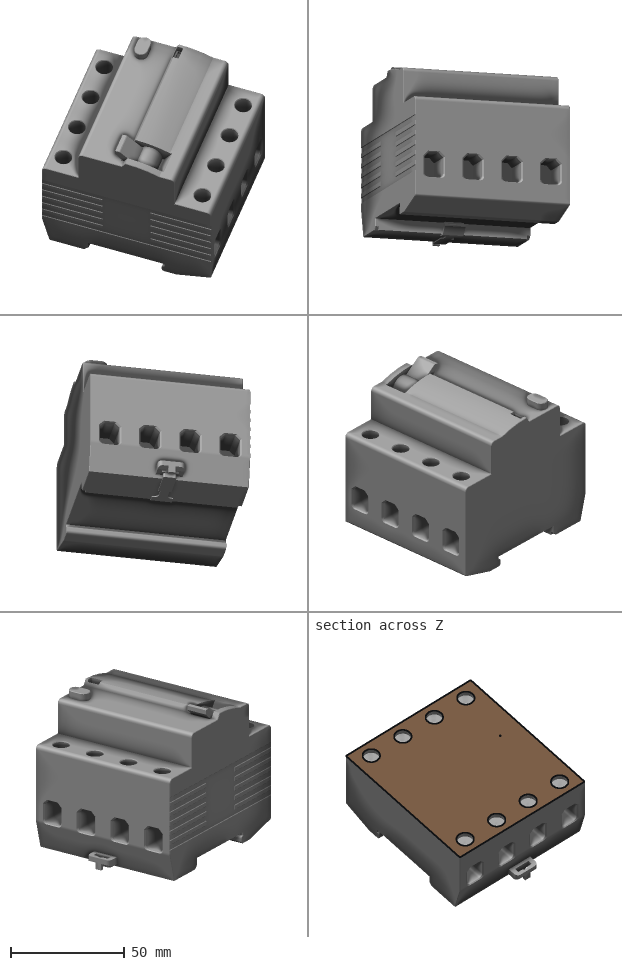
import cadquery as cq


width = 71.8
body_left = 3.55
body_right = 82.7
body_mid = (body_left + body_right) / 2
foot_z = 0.5
rail_z = 5.5
shoulder_z = 49.9
nose_left = 20.6
nose_right = 2 * body_mid - nose_left
nose_z = 66.0
outer_round = 2.0
end_chamfer = 0.21

slope_top_z = 14.0
slope_round = 5.0
foot_left = 7.0
foot_right = 24.8
foot_chamfer = 1.6
foot_wall = 1.65

hook_left = 59.55
hook_root = 60.8
hook_root_z = 4.2
hook_bottom_right = 66.4
hook_outer_z = 4.9
hook_bottom_round = 3.3
hook_outer_round = 1.0

ridge_foot = 40.85
ridge_crest = 42.5
ridge_end = 58.5
ridge_z = 68.6

rib_count = 5
panel_bottom_z = 16.4
panel_height = 24.8
strip = panel_height / (2 * rib_count + 1)
panel_depth = 0.25
rib_left_end = 31.9
rib_right_end = 2 * body_mid - rib_left_end

pole_count = 4
pole_pitch = 18.0
pole_ys = [pole_pitch * (i - (pole_count - 1) / 2) for i in range(pole_count)]
screw_offset = 32.5
screw_diameter = 7.5
screw_depth = 16.5
screw_chamfer = 0.3
entry_width = 10.1
entry_bottom_z = 13.4
entry_top_z = 25.3
entry_top_cut = 2.2
entry_bottom_round = 2.0
entry_rim_side = 0.7
entry_rim_end = 0.3
entry_rim_depth = 0.7
entry_depth = 14.1

pocket_left = 39.45
pocket_floor_right = 55.7
pocket_right = 59.5
pocket_floor_z = 60.5
pocket_y = -27.1
pocket_width = 10.9
drum_x = 49.2
drum_radius = 5.8
lever_y = -27.45
lever_width = 9.8
lever_tip_x = 36.6
lever_tip_low_z = 69.05
lever_tip_high_z = 71.0
lever_peak_x = 38.45
lever_peak_z = 71.2
lever_bevel_x = 38.9
lever_bevel_z = 71.0
lever_root_top = (46.65, 65.25)
lever_root_low = (44.65, 61.7)

button_x = 27.9
button_y = 29.0
button_width = 6.1
button_length = 10.25
button_z = 69.55
button_chamfer = 0.25
window_left = 41.85
window_right = 44.9
window_y = 31.3
window_length = 6.2
window_floor_z = 65.5
window_corner_round = 0.4
window_ledge = 0.75
window_slot_depth = 0.8

clip_width = 12.1
clip_end = 7.45
clip_bottom_z = 2.15
clip_nose_z = 3.15
clip_round = 2.0
slot_left = 1.9
slot_shelf = 2.65
slot_right = 4.1
slot_half = 3.8
slot_shelf_z = 3.8
clip_hole_x = 3.8
clip_hole_diameter = 5.2
post_length = 1.65
post_width = 3.0
tongue_left = 4.6
tongue_right = 16.7
tongue_half = 3.0
tongue_round = 0.8
shank_half = 2.0
flare_left = 20.1
flare_round = 1.9
catch_half = 4.8
catch_bottom_right = 25.05
catch_tip_x = 28.3
catch_tip_low_z = 3.5
catch_tip_high_z = 4.05
catch_top_x = 27.45
catch_top_z = 4.6
strip_z = 0.6
strip_bend_x = 23.15
riser_half = 4.4
riser_right = 27.05


def extrude_along_y(points, y_mid, length):
    """Prism with an XZ outline, centred on y_mid."""
    plane = cq.Workplane("XZ", origin=(0, y_mid, 0))
    return plane.polyline(points).close().extrude(length / 2, both=True)


def block(x_min, x_max, y_size, z_min, z_max):
    """Box centred on Y = 0."""
    size_x, size_z = x_max - x_min, z_max - z_min
    box = cq.Workplane("XY").box(size_x, y_size, size_z, centered=(False, True, False))
    return box.translate((x_min, 0, z_min))


def round_edges(solid, radius, corners):
    """Fillet the Y-parallel edges at the given XZ corners."""
    for x, z in corners:
        solid = solid.edges(cq.NearestToPointSelector((x, 0, z))).fillet(radius)
    return solid


def housing():
    """Stepped body with the ridge on top and the rail channel below."""
    run, drop = ridge_end - ridge_crest, ridge_z - nose_z
    crown_radius = (run**2 + drop**2) / (2 * drop)
    lip_round = hook_root - hook_left
    body = (
        cq.Workplane("XZ")
        .moveTo(foot_left, foot_z)
        .lineTo(body_left, slope_top_z)
        .lineTo(body_left, shoulder_z)
        .lineTo(nose_left, shoulder_z)
        .lineTo(nose_left, nose_z)
        .lineTo(ridge_foot, nose_z)
        .lineTo(ridge_crest, ridge_z)
        .radiusArc((ridge_end, nose_z), crown_radius)
        .lineTo(nose_right, nose_z)
        .lineTo(nose_right, shoulder_z)
        .lineTo(body_right, shoulder_z)
        .lineTo(body_right, hook_outer_z)
        .lineTo(hook_bottom_right, foot_z)
        .lineTo(hook_root, foot_z)
        .radiusArc((hook_left, foot_z + lip_round), lip_round)
        .lineTo(hook_left, hook_root_z - lip_round)
        .radiusArc((hook_root, hook_root_z), lip_round)
        .lineTo(hook_root, rail_z)
        .lineTo(foot_right, rail_z)
        .lineTo(foot_right, foot_z + foot_chamfer)
        .lineTo(foot_right - foot_chamfer, foot_z)
        .close()
        .extrude(width / 2, both=True)
    )
    body = round_edges(
        body,
        outer_round,
        [
            (body_left, shoulder_z),
            (nose_left, nose_z),
            (nose_right, nose_z),
            (body_right, shoulder_z),
        ],
    )
    body = round_edges(body, slope_round, [(body_left, slope_top_z)])
    body = round_edges(body, hook_bottom_round, [(hook_bottom_right, foot_z)])
    body = round_edges(body, hook_outer_round, [(body_right, hook_outer_z)])
    body = body.faces("<Y or >Y").edges().chamfer(end_chamfer)
    corner_length = width - 2 * foot_wall
    return body.union(block(foot_left, foot_right, corner_length, foot_z, rail_z))


def panel_bar(x_min, x_max, z_min, z_max, lean):
    """Bar lying in the panel recess; lean widens (+) or narrows (-) it towards the outside."""
    outside = -width / 2
    inside = outside + panel_depth
    section = [
        (outside, z_min - lean),
        (inside, z_min),
        (inside, z_max),
        (outside, z_max + lean),
    ]
    return cq.Workplane("YZ", origin=(x_min, 0, 0)).polyline(section).close().extrude(x_max - x_min)


def side_panel_recess():
    """Shallow recess across the -Y face that leaves two banks of ribs standing."""
    panel_top_z = panel_bottom_z + panel_height
    recess = panel_bar(body_left, body_right, panel_bottom_z, panel_top_z, panel_depth)
    for i in range(rib_count):
        z_min = panel_bottom_z + (2 * i + 1) * strip
        for x_min, x_max in [(body_left, rib_left_end), (rib_right_end, body_right)]:
            recess = recess.cut(panel_bar(x_min, x_max, z_min, z_min + strip, -panel_depth))
    return recess


def screw_holes():
    points = [(body_mid + side * screw_offset, y) for side in (-1, 1) for y in pole_ys]
    bore_radius = screw_diameter / 2
    half_profile = [
        (0, 0),
        (bore_radius + screw_chamfer, 0),
        (bore_radius, -screw_chamfer),
        (bore_radius, -screw_depth),
        (0, -screw_depth),
    ]
    hole = cq.Workplane("XZ").polyline(half_profile).close().revolve(360, (0, 0), (0, 1))
    places = cq.Workplane("XY", origin=(0, 0, shoulder_z)).pushPoints(points)
    return places.eachpoint(lambda place: hole.val().moved(place), combine=True)


def entry_wire(plane, side_inset, end_inset):
    """YZ outline of a wire entry around Y = 0: bevelled at the top, rounded at the bottom."""
    half = entry_width / 2 - side_inset
    low, high = entry_bottom_z + end_inset, entry_top_z - end_inset
    return (
        plane.moveTo(-half, low + entry_bottom_round)
        .lineTo(-half, high - entry_top_cut)
        .lineTo(-half + entry_top_cut, high)
        .lineTo(half - entry_top_cut, high)
        .lineTo(half, high - entry_top_cut)
        .lineTo(half, low + entry_bottom_round)
        .radiusArc((half - entry_bottom_round, low), entry_bottom_round)
        .lineTo(-half + entry_bottom_round, low)
        .radiusArc((-half, low + entry_bottom_round), entry_bottom_round)
        .close()
    )


def wire_entries():
    """Wire entries in both X faces, each with a tapered rim."""
    face = cq.Workplane("YZ", origin=(body_left, 0, 0))
    rim_end = entry_wire(face, 0, 0).workplane(offset=entry_rim_depth)
    rim = entry_wire(rim_end, entry_rim_side, entry_rim_end).loft(ruled=True)
    entry = rim.union(entry_wire(face, entry_rim_side, entry_rim_end).extrude(entry_depth))
    opposite = entry.mirror("YZ", (body_mid, 0, 0))
    entries = cq.Workplane("XY")
    for y in pole_ys:
        entries = entries.add(entry.translate((0, y, 0))).add(opposite.translate((0, y, 0)))
    return entries.combine()


def toggle_pocket():
    outline = [
        (pocket_left, pocket_floor_z),
        (pocket_floor_right, pocket_floor_z),
        (pocket_right, nose_z),
        (pocket_right, ridge_z),
        (pocket_left, ridge_z),
    ]
    return extrude_along_y(outline, pocket_y, pocket_width)


def toggle():
    """Half-buried drum across the pocket with a slanted lever on it."""
    drum = (
        cq.Workplane("XZ", origin=(drum_x, pocket_y, pocket_floor_z))
        .circle(drum_radius)
        .extrude(pocket_width / 2, both=True)
    )
    lever_outline = [
        (lever_tip_x, lever_tip_low_z),
        (lever_tip_x, lever_tip_high_z),
        (lever_peak_x, lever_peak_z),
        (lever_bevel_x, lever_bevel_z),
        lever_root_top,
        lever_root_low,
    ]
    return drum.union(extrude_along_y(lever_outline, lever_y, lever_width))


def test_button():
    return (
        cq.Workplane("XY", origin=(button_x, button_y, nose_z))
        .slot2D(button_length, button_width, 90)
        .extrude(button_z - nose_z)
        .faces(">Z")
        .edges()
        .chamfer(button_chamfer)
    )


def indicator_window():
    """Recess in the ridge with rounded corners and a narrower slot in its floor."""
    length_x = window_right - window_left
    centre = ((window_left + window_right) / 2, window_y, window_floor_z)
    floor = cq.Workplane("XY", origin=centre)
    recess = floor.rect(length_x, window_length).extrude(ridge_z - window_floor_z)
    recess = recess.edges("|Z").fillet(window_corner_round)
    slot_length = window_length - 2 * window_corner_round
    slot = floor.rect(length_x - 2 * window_ledge, slot_length).extrude(-window_slot_depth)
    return recess.union(slot)


def clip_head():
    """Pull tab with a stepped slot, a round clearance and a small post below its tip."""
    outline = [
        (0, clip_nose_z),
        (0, rail_z),
        (clip_end, rail_z),
        (clip_end, clip_bottom_z),
        (clip_round, clip_bottom_z),
    ]
    head = extrude_along_y(outline, 0, clip_width)
    plan = block(0, clip_end, clip_width, 0, rail_z).edges("<X and |Z").fillet(clip_round)
    head = head.intersect(plan)
    head = head.union(block(0, post_length, post_width, 0, rail_z))
    hole = (
        cq.Workplane("XY")
        .center(clip_hole_x, 0)
        .circle(clip_hole_diameter / 2)
        .extrude(rail_z)
        .intersect(block(0, slot_right, clip_width, 0, rail_z))
    )
    head = head.cut(block(slot_left, slot_right, 2 * slot_half, slot_shelf_z, rail_z))
    head = head.cut(block(slot_shelf, slot_right, 2 * slot_half, 0, rail_z))
    return head.cut(hole)


def clip_slider():
    """Slider under the foot: tongue, shank and a flared catch that grips the rail."""
    catch_left = flare_left + flare_round
    catch_slope = (catch_top_z - strip_z) / (catch_top_x - strip_bend_x)
    plan = (
        cq.Workplane("XY")
        .moveTo(tongue_left, 0)
        .lineTo(tongue_left, tongue_half)
        .lineTo(tongue_right, tongue_half)
        .lineTo(tongue_right, shank_half)
        .lineTo(flare_left, shank_half)
        .radiusArc((catch_left, shank_half + flare_round), -flare_round)
        .lineTo(catch_left, catch_half)
        .lineTo(catch_tip_x, catch_half)
        .lineTo(catch_tip_x, 0)
        .mirrorX()
        .extrude(rail_z)
        .edges("<X and |Z")
        .fillet(tongue_round)
    )
    side_outline = [
        (tongue_left, 0),
        (catch_bottom_right, 0),
        (catch_tip_x, catch_tip_low_z),
        (catch_tip_x, catch_tip_high_z),
        (catch_top_x, catch_top_z),
        (strip_bend_x, strip_z),
        (tongue_right, strip_z),
        (tongue_right, clip_bottom_z),
        (tongue_left, clip_bottom_z),
    ]
    slider = plan.intersect(extrude_along_y(side_outline, 0, 2 * catch_half))
    riser_outline = [
        (catch_left, strip_z),
        (strip_bend_x, strip_z),
        (riser_right, strip_z + catch_slope * (riser_right - strip_bend_x)),
        (riser_right, rail_z),
        (catch_left, rail_z),
    ]
    return slider.union(extrude_along_y(riser_outline, 0, 2 * riser_half))


result = (
    housing()
    .cut(side_panel_recess())
    .cut(screw_holes())
    .cut(wire_entries())
    .cut(toggle_pocket())
    .cut(indicator_window())
    .union(toggle())
    .union(test_button())
    .union(clip_head())
    .union(clip_slider())
)